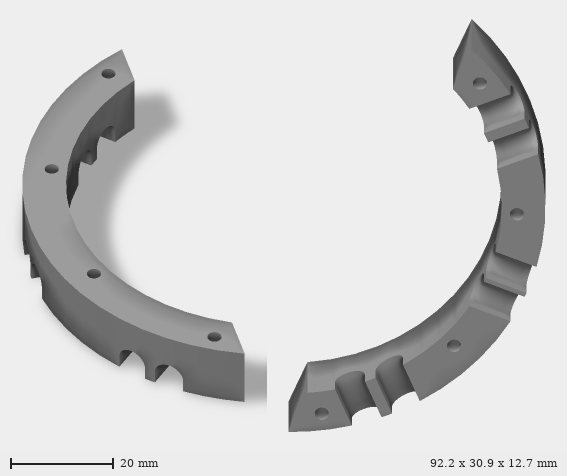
import cadquery as cq

length = 92.2
depth = 30.9
height = 12.7
ring_width = 8.6
outer_radius = (length**2 / 4 + depth**2) / (2 * depth)
inner_radius = outer_radius - ring_width
chord_offset = outer_radius - depth

hole_diameter = 2.8
end_hole = (39.8, 4.4)
middle_hole = (15.9, 22.4)

slot_width = 6.1
slot_height = 5.7
pair_angles = (-45, 0, 45)
side_rib = 2.2
middle_rib = 0.9


def ring_segment():
    """Flat ring around the Z axis, kept only on the -Y side of the chord."""
    ring = cq.Workplane("XY").circle(outer_radius).circle(inner_radius).extrude(height)
    keep = cq.Workplane("XY").box(
        2 * outer_radius, outer_radius, height, centered=(True, False, False)
    ).translate((0, -chord_offset - outer_radius, 0))
    return ring.intersect(keep)


def slot_pair(angle, rib):
    """Two parallel slot cutters beside a rib, pointing along the radius at the angle from -Y."""
    radius = slot_width / 2
    spring = slot_height - radius
    cutters = cq.Workplane("XZ")
    for side in (-1, 1):
        center = side * (rib + slot_width) / 2
        cutters = (
            cutters.moveTo(center - radius, 0)
            .lineTo(center - radius, spring)
            .threePointArc((center, slot_height), (center + radius, spring))
            .lineTo(center + radius, 0)
            .close()
        )
    return cutters.extrude(length).rotate((0, 0, 0), (0, 0, 1), angle)


def hole_pair(side_distance, chord_distance):
    """Two through holes mirrored about the YZ plane."""
    y = -chord_offset - chord_distance
    centers = [(-side_distance, y), (side_distance, y)]
    return cq.Workplane("XY").pushPoints(centers).circle(hole_diameter / 2).extrude(height)


result = ring_segment()
for pair_angle in pair_angles:
    rib_width = middle_rib if pair_angle == 0 else side_rib
    result = result.cut(slot_pair(pair_angle, rib_width))
for hole_position in (end_hole, middle_hole):
    result = result.cut(hole_pair(*hole_position))